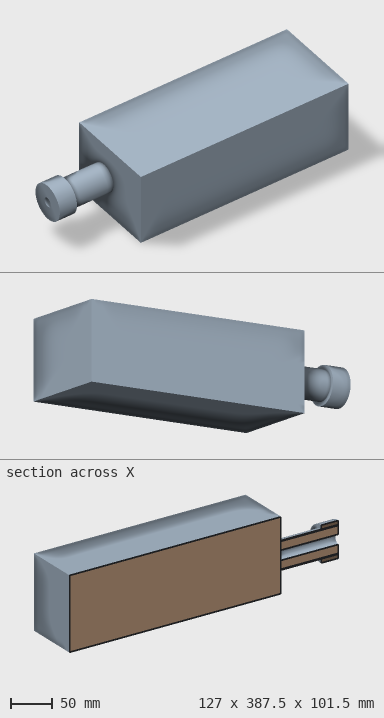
import cadquery as cq

total_length = 387.5
housing_width = 127.0
housing_height = 101.5
housing_length = 305.0

axis_from_left_side = 50.7
collar_diameter = 50.5
collar_length = 25.0
tube_diameter = 39.5
tube_bore = 36.0
core_bore = 12.8

spindle_length = total_length - housing_length
axis_x = axis_from_left_side - housing_width / 2


def make_housing():
    """Plain block behind the spindle."""
    return cq.Workplane("XY").box(housing_width, housing_length, housing_height).translate(
        (0, housing_length / 2, 0)
    )


def make_sleeve(outer_diameter, inner_diameter, length, back_y):
    """Ring on the spindle axis, running toward -Y from its back face."""
    return (
        cq.Workplane("XZ", origin=(axis_x, back_y, 0))
        .circle(outer_diameter / 2)
        .circle(inner_diameter / 2)
        .extrude(length)
    )


housing = make_housing()

tube = make_sleeve(tube_diameter, tube_bore, spindle_length, 0)

collar = make_sleeve(collar_diameter, tube_diameter, collar_length, collar_length - spindle_length)

core = make_sleeve(tube_bore, core_bore, spindle_length, 0)

result = cq.Compound.makeCompound([housing.val(), tube.val(), collar.val(), core.val()])